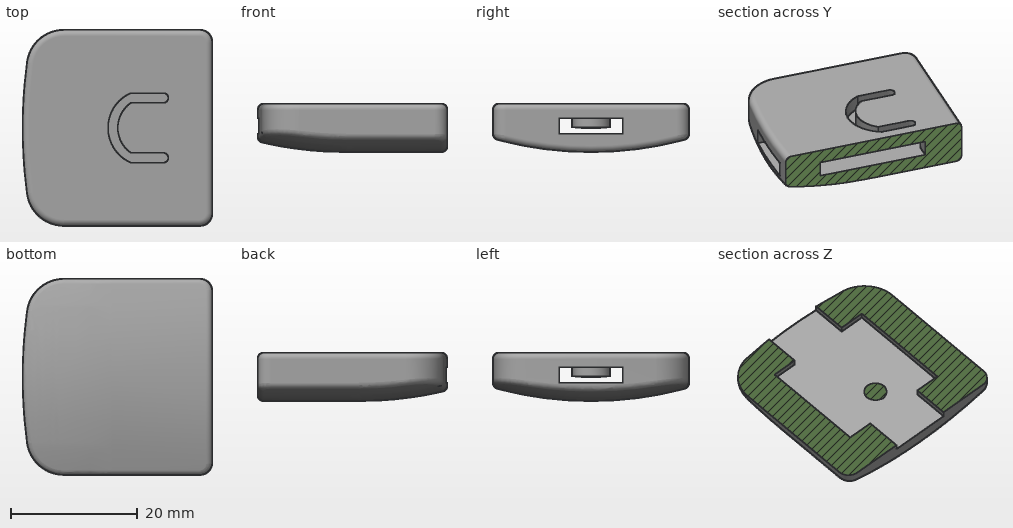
import cadquery as cq

length = 29.98
width = 31.0
height = 7.7
front_radius = 78.75
front_corner_radius = 5.95
back_corner_radius = 2.0
edge_radius = 1.0

crown_radius = 56.73
bend_radius = 58.9
bend_start = 14.0
bend_angle = 18.0
blank_margin = 1.55

rim_ceiling = 3.1
seam_reach = 0.3

channel_width = 10.0
channel_height = 2.4
channel_roof = 2.35
channel_ceiling = height - channel_roof
channel_floor = channel_ceiling - channel_height

chamber_wall = 6.2
chamber_width = width - 2 * chamber_wall
chamber_length = length - 2 * chamber_wall

slot_span = 11.0
slot_width = 1.55
slot_front = 13.5
slot_bend_x = 17.1
slot_end_x = 23.0

button_radius = 3.0
button_height = 1.55
button_dome_radius = 27.9
button_x = 19.53


def outline_prism():
    """Upright prism with the rounded plan outline."""
    half = width / 2
    front_sagitta = front_radius - (front_radius**2 - half**2) ** 0.5
    prism = (
        cq.Workplane("XY")
        .moveTo(front_sagitta, -half)
        .lineTo(length, -half)
        .lineTo(length, half)
        .lineTo(front_sagitta, half)
        .threePointArc((0, 0), (front_sagitta, -half))
        .close()
        .extrude(height)
    )
    prism = prism.edges("|Z").edges(">X").fillet(back_corner_radius)
    return prism.edges("|Z").edges("<X").fillet(front_corner_radius)


def crown_section():
    """Cross-section above the crowned underside, where the bend begins."""
    half = width / 2 + blank_margin
    crown_rise = crown_radius - (crown_radius**2 - half**2) ** 0.5
    top = height + blank_margin
    return (
        cq.Workplane("YZ", origin=(bend_start, 0, 0))
        .moveTo(-half, top)
        .lineTo(-half, crown_rise)
        .threePointArc((0, 0), (half, crown_rise))
        .lineTo(half, top)
        .close()
    )


def crowned_blank():
    """Oversized blank with the crowned underside."""
    straight = crown_section().extrude(length + blank_margin - bend_start)
    bend = crown_section().revolve(bend_angle, (-0.3, bend_radius, 0), (0.3, bend_radius, 0))
    return straight.union(bend)


def rounded_body():
    """Crowned body with its top and bottom rims rounded."""
    body = outline_prism().intersect(crowned_blank())
    body = body.faces(">Z").edges().fillet(edge_radius)
    low_edges = cq.selectors.BoxSelector(
        (-blank_margin, -width, -blank_margin),
        (length + blank_margin, width, rim_ceiling),
    )
    seam = cq.selectors.BoxSelector(
        (bend_start - seam_reach, -seam_reach, -blank_margin),
        (bend_start + seam_reach, seam_reach, rim_ceiling),
    )
    return body.edges(low_edges - seam).fillet(edge_radius)


def channel():
    """Rectangular passage open at the front and back faces."""
    return (
        cq.Workplane("YZ")
        .center(0, channel_ceiling - channel_height / 2)
        .rect(channel_width, channel_height)
        .extrude(length)
    )


def chamber():
    """Enclosed chamber that widens the channel below the slot."""
    return (
        cq.Workplane("XY", origin=(length / 2, 0, channel_floor))
        .rect(chamber_length, chamber_width)
        .extrude(channel_height)
    )


def slot():
    """U-shaped slot with arched front and round arm ends."""
    outer = slot_span / 2
    inner = outer - slot_width
    middle = outer - slot_width / 2
    arm_end = slot_end_x - slot_width / 2
    return (
        cq.Workplane("XY", origin=(0, 0, channel_ceiling))
        .moveTo(arm_end, -outer)
        .lineTo(slot_bend_x, -outer)
        .threePointArc((slot_front, 0), (slot_bend_x, outer))
        .lineTo(arm_end, outer)
        .threePointArc((slot_end_x, middle), (arm_end, inner))
        .lineTo(slot_bend_x, inner)
        .threePointArc((slot_front + slot_width, 0), (slot_bend_x, -inner))
        .lineTo(arm_end, -inner)
        .threePointArc((slot_end_x, -middle), (arm_end, -outer))
        .close()
        .extrude(height - channel_ceiling)
    )


def button():
    """Short pin hanging from the tongue, with a shallow spherical end."""
    tip = channel_ceiling - button_height
    pin = cq.Workplane("XY", origin=(button_x, 0, tip)).circle(button_radius).extrude(button_height)
    dome = cq.Workplane("XY").sphere(button_dome_radius)
    return pin.intersect(dome.translate((button_x, 0, tip + button_dome_radius)))


result = rounded_body().cut(channel()).cut(chamber()).cut(slot()).union(button())